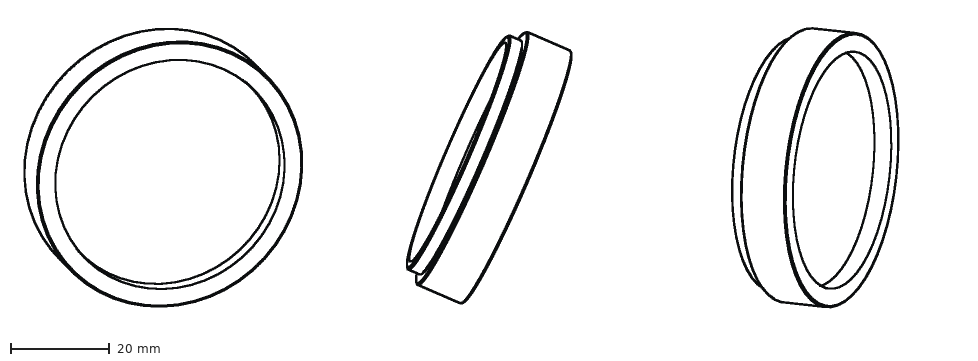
import cadquery as cq
import math

total_length = 12.95
body_diameter = 55.9
spigot_diameter = 51.7
spigot_length = 3.0
bore_diameter = 48.3

body_chamfer = 0.3
spigot_chamfer_height = 0.45
spigot_chamfer_angle = 30.0
spigot_chamfer_length = spigot_chamfer_height * math.tan(math.radians(spigot_chamfer_angle))

groove_width = 0.2
groove_depth = spigot_chamfer_height

filter_recess = 3.75
filter_thickness = total_length - 2 * filter_recess

body_radius = body_diameter / 2
spigot_radius = spigot_diameter / 2
bore_radius = bore_diameter / 2


def make_housing():
    """Ring mount: half section of (X, radius) points revolved about the X axis."""
    groove_start = spigot_length - groove_width
    groove_radius = spigot_radius - groove_depth
    half_section = [
        (0, bore_radius),
        (0, spigot_radius - spigot_chamfer_height),
        (spigot_chamfer_length, spigot_radius),
        (groove_start, spigot_radius),
        (groove_start, groove_radius),
        (spigot_length, groove_radius),
        (spigot_length, body_radius - body_chamfer),
        (spigot_length + body_chamfer, body_radius),
        (total_length - body_chamfer, body_radius),
        (total_length, body_radius - body_chamfer),
        (total_length, bore_radius),
    ]
    return cq.Workplane("XZ").polyline(half_section).close().revolve(360, (0, 0, 0), (1, 0, 0))


def make_filter():
    """Plain flat disc that fills the bore across its thickness."""
    return cq.Workplane("YZ", origin=(filter_recess, 0, 0)).circle(bore_radius).extrude(filter_thickness)


housing = make_housing()
optical_filter = make_filter()

result = cq.Compound.makeCompound([housing.val(), optical_filter.val()])